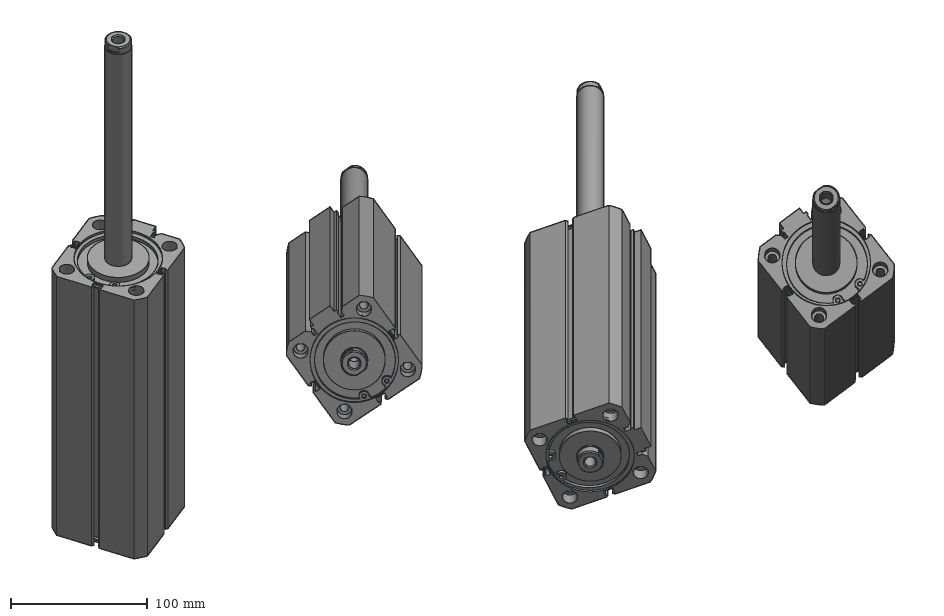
import cadquery as cq
import math


TOTAL_LENGTH = 462.0
ROD_OVERHANG = 8.0
HOUSING_LENGTH = 246.2
MID_HEIGHT = HOUSING_LENGTH / 2

HALF_SIDE = 39.0
CORNER_RADIUS = 50.0
SLOT_MOUTH_HALF = 2.0
SLOT_MOUTH_CHAMFER = 1.5
SLOT_INNER_HALF = 3.5
SLOT_LIP = 2.0
SLOT_FLOOR = 33.3

RAIL_TOP = 44.5
RAIL_HALF = 9.2
RAIL_LIP_HALF = 11.5
RAIL_LIP_TOP = 39.5
RAIL_LIP_BOTTOM = 37.0
RAIL_ROOT_HALF = 10.5
GROOVE_HALF = 13.5
GROOVE_FLOOR = 32.5
SHOULDER_CHAMFER = 3.2

HOLE_OFFSET = 28.0
HOLE_DIAMETER = 6.5
COUNTERBORE_DIAMETER = 11.0
COUNTERBORE_DEPTH = 10.0

BORE_RADIUS = 32.5
RING_DEPTH = 2.0
RING_THICKNESS = 3.0
COVER_DEPTH = RING_DEPTH + RING_THICKNESS

RING_OUTER_RADIUS = 33.5
RING_INNER_RADIUS = 29.5
RING_INNER_OFFSET = 1.0
LUG_X = 10.0
LUG_Y = -27.3
LUG_RADIUS = 3.5
LUG_HOLE_RADIUS = 1.6
RING_GAP_HALF = 6.5

COVER_THICKNESS = 14.0
COVER_BOSS_RADIUS = 22.5

ROD_DIAMETER = 20.0
NECK_RADIUS = 9.5
NECK_LENGTH = 6.5
NECK_CHAMFER = 1.0
FLAT_ACROSS = 17.0
FLAT_LENGTH = 5.0
ROD_HOLE_RADIUS = 4.0
ROD_HOLE_MOUTH_RADIUS = 5.0
ROD_HOLE_DEPTH = 18.0
DRILL_POINT_ANGLE = 118


def cylinder(radius, bottom, height):
    return cq.Workplane("XY").workplane(offset=bottom).circle(radius).extrude(height)


def other_end(body):
    """Return a mirrored copy of an upper-end body at the lower end of the housing."""
    return body.mirror("XY", (0, 0, MID_HEIGHT))


def extruded_slot(angle):
    """Undercut slot along the whole housing, made on the -Y side and turned by angle."""
    half_outline = [
        (0, -SLOT_FLOOR),
        (SLOT_INNER_HALF, -SLOT_FLOOR),
        (SLOT_INNER_HALF, SLOT_LIP - HALF_SIDE),
        (SLOT_MOUTH_HALF, SLOT_LIP - HALF_SIDE),
        (SLOT_MOUTH_HALF, SLOT_MOUTH_CHAMFER - HALF_SIDE),
        (SLOT_MOUTH_HALF + SLOT_MOUTH_CHAMFER, -HALF_SIDE),
        (0, -HALF_SIDE),
    ]
    slot = cq.Workplane("XY").polyline(half_outline).mirrorY().extrude(HOUSING_LENGTH)
    return slot.rotate((0, 0, 0), (0, 0, 1), angle)


def rail_channel():
    """Opening in the +Y side, with chamfered shoulders, in which the rail stands."""
    half_outline = [
        (0, GROOVE_FLOOR),
        (GROOVE_HALF, GROOVE_FLOOR),
        (GROOVE_HALF, HALF_SIDE - SHOULDER_CHAMFER),
        (GROOVE_HALF + SHOULDER_CHAMFER, HALF_SIDE),
        (0, HALF_SIDE),
    ]
    return cq.Workplane("XY").polyline(half_outline).mirrorY().extrude(HOUSING_LENGTH)


def rail():
    half_outline = [
        (0, GROOVE_FLOOR),
        (RAIL_ROOT_HALF, GROOVE_FLOOR),
        (RAIL_ROOT_HALF, RAIL_LIP_BOTTOM),
        (RAIL_LIP_HALF, RAIL_LIP_BOTTOM),
        (RAIL_LIP_HALF, RAIL_LIP_TOP),
        (RAIL_HALF, RAIL_LIP_TOP),
        (RAIL_HALF, RAIL_TOP),
        (0, RAIL_TOP),
    ]
    return cq.Workplane("XY").polyline(half_outline).mirrorY().extrude(HOUSING_LENGTH)


def ring_groove():
    """Retaining-ring groove at the upper end of the bore."""
    return cylinder(RING_OUTER_RADIUS, HOUSING_LENGTH - COVER_DEPTH, RING_THICKNESS)


def mounting_hole(x, y):
    """Through hole, counterbored at both ends."""
    hole = cylinder(HOLE_DIAMETER / 2, 0, HOUSING_LENGTH)
    counterbore = cylinder(
        COUNTERBORE_DIAMETER / 2, HOUSING_LENGTH - COUNTERBORE_DEPTH, COUNTERBORE_DEPTH
    )
    return hole.union(counterbore).union(other_end(counterbore)).translate((x, y, 0))


def make_housing():
    body = cq.Workplane("XY").rect(2 * HALF_SIDE, 2 * HALF_SIDE).extrude(HOUSING_LENGTH)
    body = body.intersect(cylinder(CORNER_RADIUS, 0, HOUSING_LENGTH))
    body = body.cut(rail_channel()).union(rail())
    for angle in (-90, 0, 90):
        body = body.cut(extruded_slot(angle))
    for x in (-HOLE_OFFSET, HOLE_OFFSET):
        for y in (-HOLE_OFFSET, HOLE_OFFSET):
            body = body.cut(mounting_hole(x, y))
    body = body.cut(cylinder(BORE_RADIUS, 0, HOUSING_LENGTH))
    return body.cut(ring_groove()).cut(other_end(ring_groove()))


def make_cover():
    """Upper rod cover: a flange under the ring and a boss flush with the housing end."""
    flange_top = HOUSING_LENGTH - COVER_DEPTH
    flange = cylinder(BORE_RADIUS, flange_top - COVER_THICKNESS, COVER_THICKNESS)
    boss = cylinder(COVER_BOSS_RADIUS, flange_top, COVER_DEPTH)
    return flange.union(boss).cut(cylinder(ROD_DIAMETER / 2, 0, HOUSING_LENGTH))


def make_ring():
    """Upper retaining ring, open on the -Y side between two lugs with plier holes."""
    bottom = HOUSING_LENGTH - COVER_DEPTH
    lug_centers = [(-LUG_X, LUG_Y), (LUG_X, LUG_Y)]
    plane = cq.Workplane("XY").workplane(offset=bottom)
    ring = plane.circle(RING_OUTER_RADIUS).extrude(RING_THICKNESS)
    opening = plane.center(0, -RING_INNER_OFFSET).circle(RING_INNER_RADIUS).extrude(RING_THICKNESS)
    gap = plane.center(0, -RING_OUTER_RADIUS / 2)
    gap = gap.rect(2 * RING_GAP_HALF, RING_OUTER_RADIUS).extrude(RING_THICKNESS)
    lugs = plane.pushPoints(lug_centers).circle(LUG_RADIUS).extrude(RING_THICKNESS)
    holes = plane.pushPoints(lug_centers).circle(LUG_HOLE_RADIUS).extrude(RING_THICKNESS)
    return ring.cut(opening).cut(gap).union(lugs).cut(holes)


def neck_flats(rod_top):
    """The two slabs cut off the neck at its free end."""
    slab = NECK_RADIUS - FLAT_ACROSS / 2
    center_y = NECK_RADIUS - slab / 2
    plane = cq.Workplane("XY").workplane(offset=rod_top - FLAT_LENGTH)
    slabs = plane.pushPoints([(0, -center_y), (0, center_y)])
    return slabs.rect(2 * NECK_RADIUS, slab).extrude(FLAT_LENGTH)


def rod_hole(rod_top):
    """Blind hole with a countersunk mouth and a drill point."""
    countersink = ROD_HOLE_MOUTH_RADIUS - ROD_HOLE_RADIUS
    point = ROD_HOLE_RADIUS / math.tan(math.radians(DRILL_POINT_ANGLE / 2))
    outline = [
        (0, rod_top),
        (ROD_HOLE_MOUTH_RADIUS, rod_top),
        (ROD_HOLE_RADIUS, rod_top - countersink),
        (ROD_HOLE_RADIUS, rod_top - ROD_HOLE_DEPTH),
        (0, rod_top - ROD_HOLE_DEPTH - point),
    ]
    return cq.Workplane("XZ").polyline(outline).close().revolve(360, (0, 0), (0, 1))


def make_rod():
    """Rod through both covers, with the same neck, flats and hole at each end."""
    bottom = -ROD_OVERHANG
    top = bottom + TOTAL_LENGTH
    middle = bottom + TOTAL_LENGTH / 2
    body = cylinder(ROD_DIAMETER / 2, bottom + NECK_LENGTH, TOTAL_LENGTH - 2 * NECK_LENGTH)
    necks = cylinder(NECK_RADIUS, bottom, TOTAL_LENGTH).faces("<Z or >Z").chamfer(NECK_CHAMFER)
    body = body.union(necks)
    for feature in (neck_flats(top), rod_hole(top)):
        body = body.cut(feature).cut(feature.mirror("XY", (0, 0, middle)))
    return body


housing = make_housing()
rod = make_rod()
covers = [make_cover(), other_end(make_cover())]
rings = [make_ring(), other_end(make_ring())]

result = cq.Compound.makeCompound(
    [housing.val(), rod.val()]
    + [cover.val() for cover in covers]
    + [ring.val() for ring in rings]
)